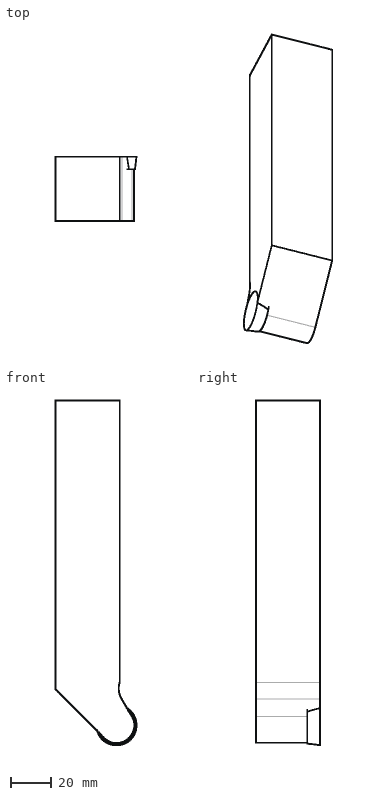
import cadquery as cq
import math

shank_width = 32.0
holder_depth = 32.0
overall_width = 40.34
overall_length = 171.34
head_radius = 8.8
underside_angle = 45.0
flank_angle = 30.0
neck_radius = 10.0
neck_undercut = 0.5

insert_radius = 10.0
insert_thickness = 6.35
relief_angle = 7.0
insert_seat_radius = insert_radius - insert_thickness * math.tan(math.radians(relief_angle))

center_x = overall_width - insert_radius
center_z = insert_radius
top_z = overall_length


def head_point(angle):
    """Point on the round head nose, with the angle in degrees from +X toward +Z."""
    turn = math.radians(angle)
    return (center_x + head_radius * math.cos(turn), center_z + head_radius * math.sin(turn))


def make_insert():
    """Tapered round insert with its cutting face flush with the +Y face of the holder."""
    half_section = [
        (0, holder_depth - insert_thickness),
        (insert_seat_radius, holder_depth - insert_thickness),
        (insert_radius, holder_depth),
        (0, holder_depth),
    ]
    frustum = cq.Workplane("XY").polyline(half_section).close().revolve(360, (0, 0, 0), (0, 1, 0))
    return frustum.translate((center_x, 0, center_z))


def make_holder(insert):
    """Shank and head in one extrusion, with a pocket that matches the insert."""
    flank_tangent = head_point(flank_angle)
    underside_tangent = head_point(underside_angle - 180)
    nose_middle = head_point((flank_angle + underside_angle - 180) / 2)
    underside_rise = underside_tangent[0] / math.tan(math.radians(underside_angle))
    underside_corner_z = underside_tangent[1] + underside_rise

    flank = math.radians(flank_angle)
    neck_x = shank_width - neck_undercut + neck_radius
    neck_offset = head_radius + neck_radius - (neck_x - center_x) * math.cos(flank)
    neck_z = center_z + neck_offset / math.sin(flank)
    neck_top_z = neck_z + math.sqrt(neck_radius**2 - (neck_radius - neck_undercut) ** 2)
    neck_end = (neck_x - neck_radius * math.cos(flank), neck_z - neck_radius * math.sin(flank))

    profile = (
        cq.Workplane("XZ")
        .moveTo(0, top_z)
        .lineTo(shank_width, top_z)
        .lineTo(shank_width, neck_top_z)
        .threePointArc((neck_x - neck_radius, neck_z), neck_end)
        .lineTo(*flank_tangent)
        .threePointArc(nose_middle, underside_tangent)
        .lineTo(0, underside_corner_z)
        .close()
    )
    return profile.extrude(-holder_depth).cut(insert)


insert = make_insert()
holder = make_holder(insert)

result = cq.Compound.makeCompound([holder.val(), insert.val()])